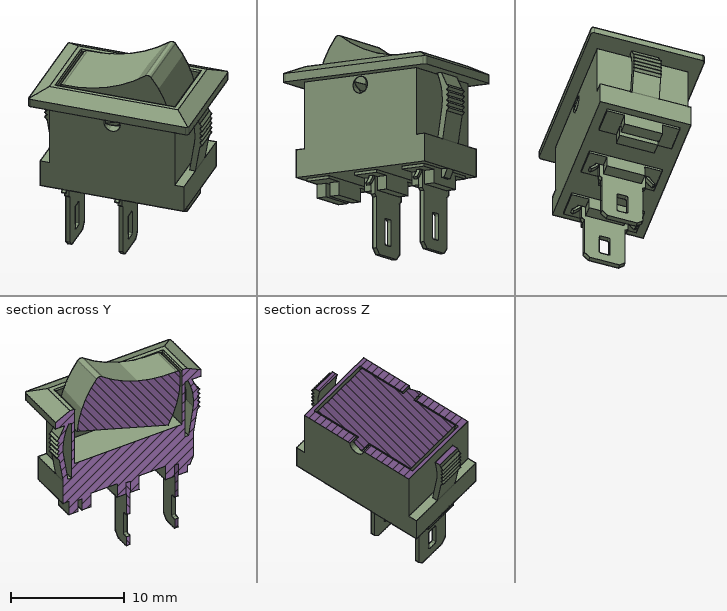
import cadquery as cq
import math


BEZEL_LENGTH = 15.0
BEZEL_WIDTH = 10.5
BEZEL_RIM_TOP = 0.75
BEZEL_TOP = 1.5
BEZEL_SLOPE_INSET = 1.48
BEZEL_CORNER_RADIUS = 0.25

NECK_LENGTH = 11.75
BODY_WIDTH = 8.43
BASE_LENGTH = 13.46
BASE_TOP = -5.98
BASE_BOTTOM = -8.49

WINDOW_LENGTH = 11.01
WINDOW_WIDTH = 6.47
WINDOW_CHAMFER = 0.12
POCKET_FLOOR = -4.5

ARM_WIDTH = 2.5
ARM_OUTER_TOP = 6.6
ARM_INNER_TOP = 6.14
ARM_INNER_BULGE = (6.6, -1.38)
ARM_INNER_KNEE = (6.67, -2.96)
ARM_INNER_BOTTOM = 6.2
TOOTH_COUNT = 5
TOOTH_PITCH = 0.47
TOOTH_TIP_X = 7.38
TOOTH_ROOT_X = 7.15
FIRST_TOOTH_ROOT_Z = -1.13

SEAT_PITCH = 4.97
SEAT_LENGTH = 2.3
SEAT_PLATE_WIDTH = 6.75
SEAT_PLATE_BOTTOM = -8.75
SEAT_BLOCK_WIDTH = 3.53
SEAT_BLOCK_BOTTOM = -9.97

WEDGE_WIDTH = 0.99
WEDGE_BOTTOM = -9.25
WEDGE_SLOPE_RUN = 0.35

TERMINAL_THICKNESS = 0.4
TERMINAL_SHOULDER_HALF = 2.15
TERMINAL_SHOULDER_Z = -10.35
TERMINAL_BLADE_HALF = 1.9
TERMINAL_BLADE_TOP = -10.56
TERMINAL_BOTTOM = -15.67
TERMINAL_TIP_CHAMFER = 0.51
EYE_WIDTH = 0.99
EYE_LENGTH = 2.39
EYE_CENTRE_Z = -13.46
EYE_CORNER_RADIUS = 0.15
BARB_UPPER = [(2.47, SEAT_PLATE_BOTTOM), (2.72, -9.18), (3.04, -9.51)]
BARB_LOWER = [(2.86, -9.67), (2.47, -9.25), (TERMINAL_SHOULDER_HALF, -8.8)]

ROCKER_TILT = 17.5
ROCKER_WIDTH = 6.35
ROCKER_DISH_RADIUS = 11.85
ROCKER_DISH_BOTTOM = 2.98
ROCKER_TIP_X = 4.38
ROCKER_SIDE_MIDDLE = (5.01, 1.8)
ROCKER_FOOT = (4.94, -1.93)
ROCKER_TIP_RADIUS = 0.4
PIVOT_Z = -0.75
PIN_DIAMETER = 1.25
PIN_HOLE_DIAMETER = 1.5


def block(length, width, bottom, top, x=0.0):
    """Box centred on Y = 0 between two heights."""
    return cq.Workplane("XY", origin=(x, 0, bottom)).rect(length, width).extrude(top - bottom)


def make_bezel():
    """Rounded plate whose top slopes up to a flat rim around the window."""
    plate = block(BEZEL_LENGTH, BEZEL_WIDTH, 0, BEZEL_TOP).edges("|Z").fillet(BEZEL_CORNER_RADIUS)
    slopes = (
        cq.Workplane("XY", origin=(0, 0, BEZEL_RIM_TOP))
        .rect(BEZEL_LENGTH, BEZEL_WIDTH)
        .workplane(offset=BEZEL_TOP - BEZEL_RIM_TOP)
        .rect(BEZEL_LENGTH - 2 * BEZEL_SLOPE_INSET, BEZEL_WIDTH - 2 * BEZEL_SLOPE_INSET)
        .loft(ruled=True)
    )
    rim = block(BEZEL_LENGTH, BEZEL_WIDTH, 0, BEZEL_RIM_TOP)
    return plate.intersect(rim.union(slopes))


def make_window():
    """Pocket volume for the rocker, flared at the mouth."""
    pocket = block(WINDOW_LENGTH, WINDOW_WIDTH, POCKET_FLOOR, BEZEL_TOP)
    flare = (
        cq.Workplane("XY", origin=(0, 0, BEZEL_TOP - WINDOW_CHAMFER))
        .rect(WINDOW_LENGTH, WINDOW_WIDTH)
        .workplane(offset=WINDOW_CHAMFER)
        .rect(WINDOW_LENGTH + 2 * WINDOW_CHAMFER, WINDOW_WIDTH + 2 * WINDOW_CHAMFER)
        .loft(ruled=True)
    )
    return pocket.union(flare)


def make_snap_arm():
    """Bowed, toothed spring arm on the +X end, from the bezel down to the base."""
    arm = cq.Workplane("XZ", origin=(0, ARM_WIDTH / 2, 0)).moveTo(ARM_OUTER_TOP, 0)
    arm = arm.lineTo(TOOTH_ROOT_X, FIRST_TOOTH_ROOT_Z)
    for tooth in range(TOOTH_COUNT):
        root_z = FIRST_TOOTH_ROOT_Z - tooth * TOOTH_PITCH
        arm = arm.lineTo(TOOTH_TIP_X, root_z - TOOTH_PITCH / 2)
        arm = arm.lineTo(TOOTH_ROOT_X, root_z - TOOTH_PITCH)
    return (
        arm.lineTo(BASE_LENGTH / 2, BASE_TOP)
        .lineTo(ARM_INNER_BOTTOM, BASE_TOP)
        .lineTo(*ARM_INNER_KNEE)
        .threePointArc(ARM_INNER_BULGE, (ARM_INNER_TOP, 0))
        .close()
        .extrude(ARM_WIDTH)
    )


def make_terminal_seat(x):
    """Plate and block under the base, with a slot across the block for a terminal."""
    plate = block(SEAT_LENGTH, SEAT_PLATE_WIDTH, SEAT_PLATE_BOTTOM, BASE_BOTTOM, x)
    slotted = block(SEAT_LENGTH, SEAT_BLOCK_WIDTH, SEAT_BLOCK_BOTTOM, SEAT_PLATE_BOTTOM, x)
    slot = block(TERMINAL_THICKNESS, SEAT_BLOCK_WIDTH, SEAT_BLOCK_BOTTOM, SEAT_PLATE_BOTTOM, x)
    return plate.union(slotted.cut(slot))


def make_wedge():
    """Small sloped key between the -X end of the base and its nearest seat."""
    outer_x = -BASE_LENGTH / 2
    seat_x = -SEAT_PITCH - SEAT_LENGTH / 2
    return (
        cq.Workplane("XZ", origin=(0, WEDGE_WIDTH / 2, 0))
        .moveTo(outer_x, BASE_BOTTOM)
        .lineTo(outer_x + WEDGE_SLOPE_RUN, WEDGE_BOTTOM)
        .lineTo(seat_x, WEDGE_BOTTOM)
        .lineTo(seat_x, BASE_BOTTOM)
        .close()
        .extrude(WEDGE_WIDTH)
    )


def make_pin_holes():
    """Pivot holes through both side walls; each pin bears on the top of its hole."""
    hole_z = PIVOT_Z - (PIN_HOLE_DIAMETER - PIN_DIAMETER) / 2
    return (
        cq.Workplane("XZ", origin=(0, BODY_WIDTH / 2, hole_z))
        .circle(PIN_HOLE_DIAMETER / 2)
        .extrude(BODY_WIDTH)
    )


def make_housing():
    housing = make_bezel()
    housing = housing.union(block(NECK_LENGTH, BODY_WIDTH, BASE_TOP, 0))
    housing = housing.union(block(BASE_LENGTH, BODY_WIDTH, BASE_BOTTOM, BASE_TOP))
    housing = housing.cut(make_window()).cut(make_pin_holes())
    arm = make_snap_arm()
    housing = housing.union(arm).union(arm.mirror("YZ"))
    for x in (-SEAT_PITCH, 0, SEAT_PITCH):
        housing = housing.union(make_terminal_seat(x))
    return housing.union(make_wedge())


def make_pins():
    """Pivot pins on both sides, the lower half of each end cut back at 45 degrees to snap in."""
    radius = PIN_DIAMETER / 2
    end_y = BODY_WIDTH / 2
    pins = cq.Workplane("XZ", origin=(0, end_y, 0)).circle(radius).extrude(BODY_WIDTH)
    lead_in = (
        cq.Workplane("YZ", origin=(-radius, 0, 0))
        .polyline([(end_y, 0), (end_y, -radius), (end_y - radius, -radius)])
        .close()
        .extrude(PIN_DIAMETER)
    )
    return pins.cut(lead_in).cut(lead_in.mirror("XZ"))


def make_rocker():
    """Dished rocker on its pins, pressed down on the -X side."""
    dish_centre_z = ROCKER_DISH_BOTTOM + ROCKER_DISH_RADIUS
    tip_z = dish_centre_z - math.sqrt(ROCKER_DISH_RADIUS**2 - ROCKER_TIP_X**2)
    foot_x, foot_z = ROCKER_FOOT
    side_x, side_z = ROCKER_SIDE_MIDDLE
    paddle = (
        cq.Workplane("XZ", origin=(0, ROCKER_WIDTH / 2, 0))
        .moveTo(-ROCKER_TIP_X, tip_z)
        .threePointArc((0, ROCKER_DISH_BOTTOM), (ROCKER_TIP_X, tip_z))
        .threePointArc((side_x, side_z), (foot_x, foot_z))
        .lineTo(-foot_x, foot_z)
        .threePointArc((-side_x, side_z), (-ROCKER_TIP_X, tip_z))
        .close()
        .extrude(ROCKER_WIDTH)
    )
    tips = cq.selectors.BoxSelector((-foot_x, -ROCKER_WIDTH, side_z), (foot_x, ROCKER_WIDTH, dish_centre_z))
    paddle = paddle.edges("|Y").edges(tips).fillet(ROCKER_TIP_RADIUS)
    rocker = paddle.union(make_pins())
    return rocker.rotate((0, 0, 0), (0, 1, 0), -ROCKER_TILT).translate((0, 0, PIVOT_Z))


def make_terminal(x):
    """Flat blade with an eye, standing in its seat's slot, and two bent barbs under the plate."""
    start_x = x - TERMINAL_THICKNESS / 2
    half_blade = (
        cq.Workplane("YZ", origin=(start_x, 0, 0))
        .moveTo(0, SEAT_PLATE_BOTTOM)
        .lineTo(*BARB_UPPER[0])
        .threePointArc(*BARB_UPPER[1:])
        .lineTo(*BARB_LOWER[0])
        .threePointArc(*BARB_LOWER[1:])
        .lineTo(TERMINAL_SHOULDER_HALF, TERMINAL_SHOULDER_Z)
        .lineTo(TERMINAL_BLADE_HALF, TERMINAL_BLADE_TOP)
        .lineTo(TERMINAL_BLADE_HALF, TERMINAL_BOTTOM + TERMINAL_TIP_CHAMFER)
        .lineTo(TERMINAL_BLADE_HALF - TERMINAL_TIP_CHAMFER, TERMINAL_BOTTOM)
        .lineTo(0, TERMINAL_BOTTOM)
        .close()
        .extrude(TERMINAL_THICKNESS)
    )
    eye = (
        cq.Workplane("YZ", origin=(start_x, 0, EYE_CENTRE_Z))
        .rect(EYE_WIDTH, EYE_LENGTH)
        .extrude(TERMINAL_THICKNESS)
        .edges("|X")
        .fillet(EYE_CORNER_RADIUS)
    )
    return half_blade.union(half_blade.mirror("XZ")).cut(eye)


housing = make_housing()
rocker = make_rocker()
terminals = [make_terminal(x).solids().val() for x in (-SEAT_PITCH, 0)]

result = cq.Compound.makeCompound([housing.solids().val(), rocker.solids().val(), *terminals])